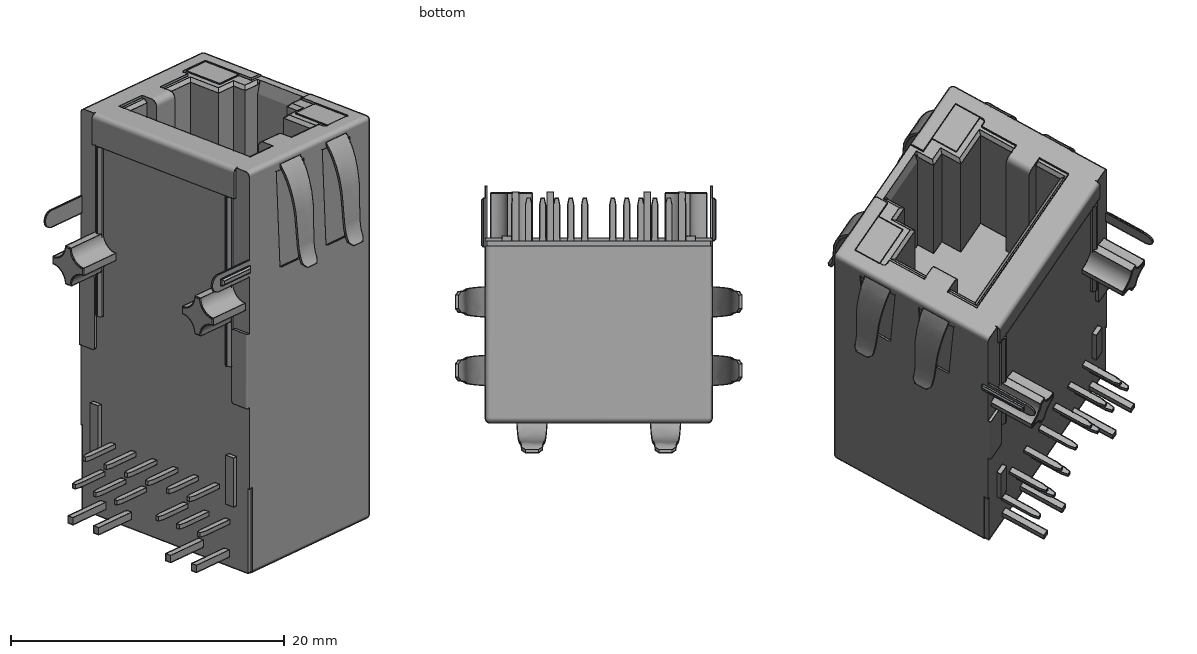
import cadquery as cq
import math


body_width = 16.58
body_depth = 13.3
body_height = 32.5
bend_radius = 0.35
sheet = 0.13
half_width = body_width / 2

skirt_depth = 0.35
skirt_height = 6.95

cavity_depth = 14.62
lead_in = 0.25
port_bottom = 2.55
port_steps = [(5.95, 9.35), (3.2, 11.0), (2.05, 12.35)]
face_recess = 0.2
face_half_width = 6.45
face_bottom = 2.1
latch_notch_half_width = 2.5
latch_bevel_height = 1.0
window_half_width = 7.02
window_bottom = 9.6
window_top = 12.15
window_radius = 0.23
led_width = 3.28
led_height = 2.08
led_rise = 0.1
key_reach = 5.0
key_bottom = 4.6
key_width = 1.98
key_radius = 0.52

flange_half_width = 7.0
flange_height = 2.45
flange_rise = 0.23
flange_embed = 0.98
flange_radius = 0.4
rail_x = 6.37
rail_width = 0.65
rail_rise = 0.35
rail_bottom = 16.4
rail_bevel_width = 0.25
rail_bevel_height = 0.2
peg_z = 21.58
peg_length = 3.55
peg_reach = 1.53
peg_tip_half_width = 0.3
peg_chamfer = 0.05
flap_bottom = 13.52
flap_height = 6.0
flap_width = 1.53
flap_rise = 0.23
flap_corner_radius = 0.2
standoff_x = 6.65
standoff_width = 0.78
standoff_bottom = 5.25
standoff_height = 3.95

tab_z = 24.75
tab_height = 1.35
tab_length = 4.0
tab_embed = 0.65
rib_height = 0.55
rib_rise = 0.25
rib_end = -3.12
rib_start_left = 0.45
rib_start_right = 0.0
rib_bevel = 0.13

pin_embed = 0.32
signal_pin_width = 0.45
signal_pin_thickness = 0.35
signal_pin_length = 3.12
signal_tip_length = 0.5
signal_tip_width = 0.25
signal_pitch = 2.05
upper_row_z = 6.27
lower_row_z = 3.75
led_pin_width = 0.5
led_pin_thickness = 0.6
led_pin_length = 3.58
led_pin_z = 1.17
led_pin_xs = [3.55, 6.08]

spring_thickness = 0.15
spring_reach = 2.18
spring_top = 32.05
spring_bottom = 24.18
spring_top_width = 2.2
spring_tip_width = 1.5
spring_tip_chamfer = 0.25
slot_top = 31.6
slot_bottom = 23.7
slot_top_width = 3.02
slot_bottom_width = 2.2
slot_radius = 0.23
side_spring_ys = [4.45, 9.45]
back_spring_xs = [-4.88, 4.88]


def box(x_min, x_max, y_min, y_max, z_min, z_max):
    size = (x_max - x_min, y_max - y_min, z_max - z_min)
    return cq.Workplane("XY").box(*size, centered=False).translate((x_min, y_min, z_min))


def both_sides(solid):
    """The solid together with its mirror image across the YZ plane."""
    return solid.union(solid.mirror("YZ"))


def shell_block():
    block = box(-half_width, half_width, 0, body_depth, 0, body_height)
    block = block.edges(">Y or (>Z and |Y) or (<Z and |Y)").fillet(bend_radius)
    block = block.cut(box(-half_width, half_width, 0, skirt_depth, 0, skirt_height))
    inset = half_width - sheet
    return block.union(box(-inset, inset, 0, skirt_depth, sheet, skirt_height))


def port_outline(growth):
    """Corner points of the stepped plug outline, grown outward on every side."""
    right = [(port_steps[0][0] + growth, port_bottom - growth)]
    for index, (half, top) in enumerate(port_steps):
        right.append((half + growth, top + growth))
        if index + 1 < len(port_steps):
            right.append((port_steps[index + 1][0] + growth, top + growth))
    left = [(-x, y) for x, y in reversed(right)]
    return right + left


def face_opening():
    """Cut-out in the top sheet, showing the housing face and the LED windows."""
    floor = body_height - face_recess
    windows = box(-window_half_width, window_half_width, window_bottom, window_top, floor, body_height)
    windows = windows.edges("|Z and <Y").fillet(window_radius)
    main = box(-face_half_width, face_half_width, face_bottom, window_top, floor, body_height)
    notch = box(-latch_notch_half_width, latch_notch_half_width, window_bottom, body_depth, floor, body_height)
    return main.union(windows).union(notch)


def port_cavity():
    floor = body_height - face_recess
    cavity = cq.Workplane("XY").polyline(port_outline(0)).close().extrude(cavity_depth)
    cavity = cavity.translate((0, 0, body_height - cavity_depth))
    mouth = (
        cq.Workplane("XY").polyline(port_outline(0)).close()
        .workplane(offset=lead_in).polyline(port_outline(lead_in)).close()
        .loft(ruled=True).translate((0, 0, floor - lead_in))
    )
    half, back = port_steps[-1]
    bevel = [(back, floor), (back + lead_in, floor), (back, floor - latch_bevel_height)]
    latch_bevel = cq.Workplane("YZ").polyline(bevel).close().extrude(half, both=True)
    return cavity.union(mouth).union(latch_bevel)


def port_keys():
    key = box(key_reach, window_half_width, key_bottom, key_bottom + key_width,
              body_height - cavity_depth, body_height)
    return both_sides(key.edges("<X and >Z").fillet(key_radius))


def leds():
    floor = body_height - face_recess
    led = box(window_half_width - led_width, window_half_width, window_top - led_height, window_top,
              floor - led_rise, floor + led_rise)
    return both_sides(led)


def flange_blank():
    return box(-flange_half_width, flange_half_width, -flange_rise, flange_embed,
               body_height - flange_height, body_height)


def flange():
    return flange_blank().edges("<Y and >Z").fillet(flange_radius)


def rails():
    half = rail_width / 2
    crest = half - rail_bevel_width
    shoulder = rail_bevel_height - rail_rise
    profile = [(half, 0), (half, shoulder), (crest, -rail_rise),
               (-crest, -rail_rise), (-half, shoulder), (-half, 0)]
    rail = cq.Workplane("XY").polyline(profile).close().extrude(body_height - flange_height - rail_bottom)
    return both_sides(rail.translate((rail_x, 0, rail_bottom)))


def pegs():
    """Four-pointed locating pegs with concave flanks."""
    hollow = peg_reach - peg_tip_half_width
    waist = peg_reach - hollow / math.sqrt(2)
    reach = peg_reach
    tip = peg_tip_half_width
    outline = (
        cq.Workplane("XZ").moveTo(reach, -tip).lineTo(reach, tip)
        .threePointArc((waist, waist), (tip, reach)).lineTo(-tip, reach)
        .threePointArc((-waist, waist), (-reach, tip)).lineTo(-reach, -tip)
        .threePointArc((-waist, -waist), (-tip, -reach)).lineTo(tip, -reach)
        .threePointArc((waist, -waist), (reach, -tip)).close()
    )
    peg = outline.extrude(peg_length).faces("<Y").chamfer(peg_chamfer)
    return both_sides(peg.translate((rail_x, 0, peg_z)))


def flaps():
    """Shell flaps folded over onto the board side."""
    flap = box(half_width - flap_width, half_width, -flap_rise, bend_radius,
               flap_bottom, flap_bottom + flap_height)
    flap = flap.edges("|Y and <X").fillet(flap_corner_radius)
    return both_sides(flap.edges("|Z and >X and <Y").fillet(sheet))


def standoffs():
    half = standoff_width / 2
    return both_sides(box(standoff_x - half, standoff_x + half, -rail_rise, 0,
                          standoff_bottom, standoff_bottom + standoff_height))


def ground_tab(side, rib_start):
    """Round-ended board tab with a raised rib; side is +1 for +X, -1 for -X."""
    half = tab_height / 2
    tip_y = half - tab_length
    tab = box(half_width - sheet, half_width, tip_y, tab_embed, tab_z - half, tab_z + half)
    tip = cq.Workplane("YZ", origin=(half_width, tip_y, tab_z)).circle(half).extrude(-sheet)
    tab = tab.union(tip)
    rib = box(half_width - sheet, half_width + rib_rise, rib_end, rib_start,
              tab_z - rib_height / 2, tab_z + rib_height / 2)
    tab = tab.union(rib.faces(">X").chamfer(rib_bevel))
    return tab if side > 0 else tab.mirror("YZ")


def signal_pin(x, z):
    half = signal_pin_width / 2
    tip = signal_tip_width / 2
    shoulder = signal_tip_length - signal_pin_length
    profile = [(-half, pin_embed), (-half, shoulder), (-tip, -signal_pin_length),
               (tip, -signal_pin_length), (half, shoulder), (half, pin_embed)]
    pin = cq.Workplane("XY").polyline(profile).close().extrude(signal_pin_thickness)
    return pin.translate((x, 0, z - signal_pin_thickness / 2))


def led_pin(x):
    return box(x - led_pin_width / 2, x + led_pin_width / 2, -led_pin_length, pin_embed,
               led_pin_z - led_pin_thickness / 2, led_pin_z + led_pin_thickness / 2)


def pins():
    group = cq.Workplane("XY")
    for index in range(3):
        group = group.add(both_sides(signal_pin((index + 0.5) * signal_pitch, upper_row_z)))
        group = group.add(both_sides(signal_pin((index + 1) * signal_pitch, lower_row_z)))
    for x in led_pin_xs:
        group = group.add(both_sides(led_pin(x)))
    return group.combine()


def spring():
    outer = [(0, spring_top), (0.55, 31.25), (1.1, 29.95), (1.43, 28.47),
             (1.53, 26.98), (1.65, 25.35), (1.85, 24.67), (spring_reach, spring_bottom)]
    slant = spring_thickness / 2
    inner = [(x - spring_thickness, z - slant) for x, z in reversed(outer)]
    strip = (
        cq.Workplane("XZ").moveTo(*outer[0]).spline(outer[1:], includeCurrent=True)
        .lineTo(*inner[0]).spline(inner[1:], includeCurrent=True).close()
        .extrude(spring_top_width).translate((0, spring_top_width / 2, 0))
    )
    top = spring_top_width / 2
    tip = spring_tip_width / 2
    taper = (
        cq.Workplane("YZ", origin=(-spring_thickness, 0, 0))
        .polyline([(-top, spring_top), (-tip, spring_bottom), (tip, spring_bottom), (top, spring_top)]).close()
        .extrude(spring_reach + spring_thickness).edges("|X and <Z").chamfer(spring_tip_chamfer)
    )
    return strip.intersect(taper)


def spring_slot():
    top = slot_top_width / 2
    bottom = slot_bottom_width / 2
    outline = [(-top, slot_top), (-bottom, slot_bottom), (bottom, slot_bottom), (top, slot_top)]
    slot = cq.Workplane("YZ").polyline(outline).close().extrude(-sheet)
    return slot.edges("|X and <Z").fillet(slot_radius)


def on_all_walls(feature):
    """Copies of a wall feature on both side walls and on the back wall."""
    group = cq.Workplane("XY")
    for y in side_spring_ys:
        group = group.add(both_sides(feature.translate((half_width, y, 0))))
    turned = feature.rotate((0, 0, 0), (0, 0, 1), 90)
    for x in back_spring_xs:
        group = group.add(turned.translate((x, body_depth, 0)))
    return group.combine()


body = shell_block().cut(flange_blank()).union(flange())
body = body.cut(face_opening()).union(leds()).cut(port_cavity()).union(port_keys())
body = body.cut(on_all_walls(spring_slot())).union(on_all_walls(spring()))
body = body.union(rails()).union(pegs()).union(flaps()).union(standoffs()).union(pins())
result = body.union(ground_tab(1, rib_start_right)).union(ground_tab(-1, rib_start_left))